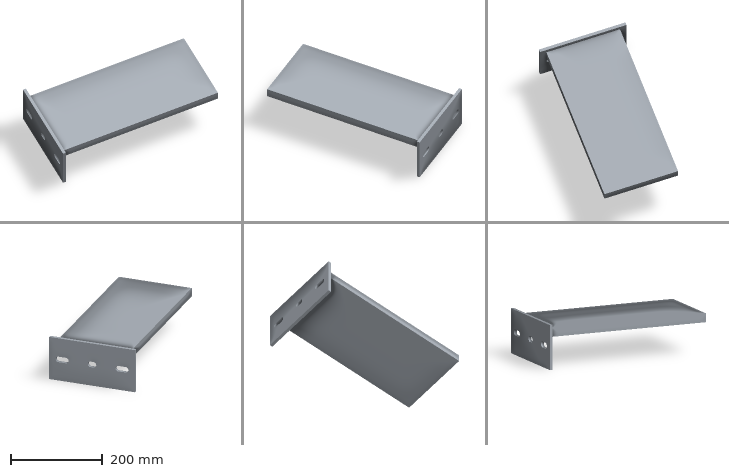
import cadquery as cq

plate_width = 200.0
plate_height = 100.0
plate_thickness = 7.0

overall_depth = 381.5
board_width = 170.0
board_thickness = 20.0
board_drop = 10.0
board_length = overall_depth - plate_thickness

slot_height = 13.0
outer_slot_length = 30.0
middle_slot_length = 20.0
outer_slot_offset = 70.0


def make_plate():
    """Rectangular plate with a short middle slot and two longer outer slots."""
    plate = cq.Workplane("XY").box(
        plate_width, plate_thickness, plate_height, centered=(True, False, True)
    )
    slots = (
        cq.Workplane("XZ")
        .slot2D(middle_slot_length, slot_height)
        .pushPoints([(-outer_slot_offset, 0), (outer_slot_offset, 0)])
        .slot2D(outer_slot_length, slot_height)
        .extrude(-plate_thickness)
    )
    return plate.cut(slots)


def make_board():
    """Plain board that butts against the back face of the plate."""
    board_top = plate_height / 2 - board_drop
    return (
        cq.Workplane("XY")
        .box(board_width, board_length, board_thickness, centered=(True, False, False))
        .translate((0, plate_thickness, board_top - board_thickness))
    )


plate = make_plate()
board = make_board()

result = cq.Compound.makeCompound([plate.val(), board.val()])